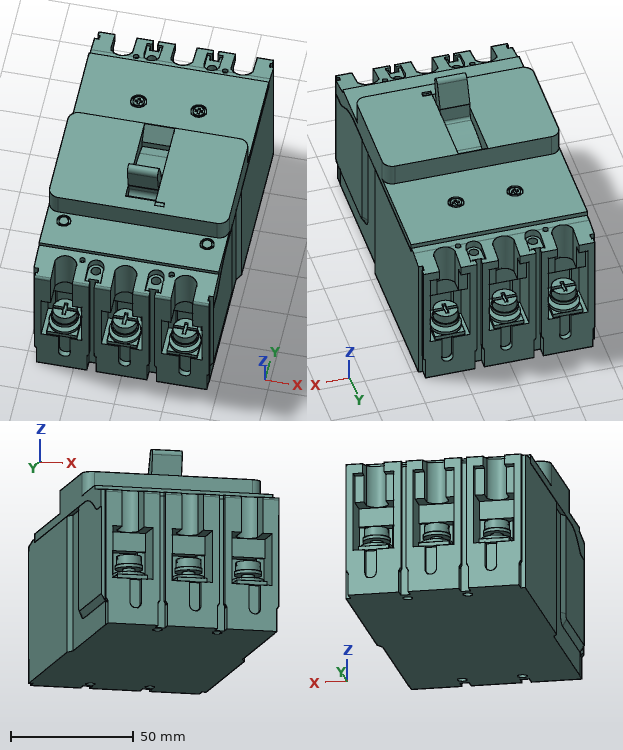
import cadquery as cq
import math

LENGTH = 130.0
WIDTH = 75.0
HEIGHT = 82.7
HALF_LENGTH = LENGTH / 2
HALF_WIDTH = WIDTH / 2
TALL = 2 * HEIGHT

COVER_TOP = 60.2
PLATFORM_TOP = 69.7
SKIRT_BOTTOM = 56.7
SKIRT_BEND_Y = -35.5
SKIRT_BEND_MIDDLE = (-40.3, 55.8)
SKIRT_SLOPE_TOP = (-45.1, 54.1)
SKIRT_SLOPE_FOOT = (-52.4, 49.9)
SKIRT_FRONT_Y = -54.0
SKIRT_FRONT_BOTTOM = 49.4
REAR_LEDGE_Z = 58.2
REAR_END_Z = 56.0
REAR_SLOPE_Y = 53.5
COVER_REAR_Y = 50.3
COVER_FRONT_Y = -50.5
FRONT_SLOPE_TOP_Z = 58.6
FRONT_SLOPE_ANGLE = 11.2
FRONT_EDGE_RADIUS = 1.0
FRONT_END_Z = FRONT_SLOPE_TOP_Z - (HALF_LENGTH + COVER_FRONT_Y) * math.tan(
    math.radians(FRONT_SLOPE_ANGLE)
)

PLATFORM_REAR_Y = 11.8
PLATFORM_FRONT_Y = -33.2
PLATFORM_CORNER_RADIUS = 4.3

SKIRT_STEP = 0.1
BASE_HALF_WIDTH = HALF_WIDTH - SKIRT_STEP
WAIST_DEPTH = 1.7
WAIST_REAR_Y = -3.6
BEVEL_WIDTH = 3.0
PANEL_REAR_Y = -19.8
PANEL_BOTTOM = 10.0
PANEL_CORNER_RADIUS = 4.7

POLE_PITCH = 25.1
POLE_XS = [-POLE_PITCH, 0, POLE_PITCH]
CHANNEL_XS = [-POLE_PITCH / 2, POLE_PITCH / 2]
LIP_THICKNESS = 2.2
CHANNEL_DEPTH = 4.3
CHANNEL_WIDTH = 3.9
CHANNEL_MOUTH = 2.2
LIP_BOTTOM = 9.2
LIP_FULL_Z = 10.5

MOUNT_Y = 56.2
MOUNT_HOLE_DIAMETER = 3.9
MOUNT_RECESS_WIDTH = 6.5
MOUNT_RECESS_FLOOR = 55.0
PIN_HOLE_X = 18.6
PIN_HOLE_Y = 54.0
PIN_HOLE_DIAMETER = 2.2
PIN_HOLE_FLOOR = 55.9

SCREW_Y = 58.1
SHAFT_WIDTH = 9.1
SHAFT_RADIUS = 5.0
POCKET_WIDTH = 16.9
POCKET_BOTTOM = 19.1
POCKET_STEP_Z = 32.9
POCKET_TOP = 40.7
POCKET_UPPER_DEPTH = 12.4
POCKET_LOWER_DEPTH = 13.6
NICHE_WIDTH = 10.5
NICHE_DEPTH = 16.9
REAR_RECESS_TOP = 52.0
REAR_RECESS_DEPTH = 3.6
END_SLOT_OFFSET = 1.2
END_SLOT_WIDTH = 4.8
END_SLOT_BOTTOM = 6.9
END_SLOT_DEPTH = 2.3

PLATE_WIDTH = 12.6
PLATE_TOP = 20.8
PLATE_FRONT_GAP = 0.5
WASHER_DIAMETER = 13.0
WASHER_TOP = 22.1
SHANK_DIAMETER = 5.2
SHANK_TOP = 24.2
COLLAR_DIAMETER = 11.2
COLLAR_TOP = 25.6
HEAD_DIAMETER = 10.1
HEAD_TOP = 29.4
DRIVE_WIDTH = 1.3
DRIVE_SHORT_LENGTH = 5.8
DRIVE_DEPTH = 1.3

COVER_SCREW_X = POLE_PITCH / 2
COVER_SCREW_Y = 29.8
COVER_SCREW_RIM = 6.5
COVER_SCREW_HEAD = 4.7
COVER_DRIVE_LENGTH = 2.9
COVER_DRIVE_WIDTH = 0.9
BUTTON_X = 29.9
BUTTON_Y = -37.2
BUTTON_RIM = 5.7
BUTTON_DIAMETER = 4.0
RIM_GROOVE_DEPTH = 0.8

HANDLE_WIDTH = 12.6
SLOT_REAR_Y = 11.6
SLOT_FRONT_Y = -26.9
SLOT_FLOOR = 60.8
SLOT_WALL_ANGLE = 50.0
SLOT_WALL_RUN = 5.0
SLOT_WALL_FOOT = PLATFORM_TOP - SLOT_WALL_RUN * math.tan(math.radians(SLOT_WALL_ANGLE))
FLOOR_REAR_Y = SLOT_REAR_Y - SLOT_WALL_RUN
FLOOR_FRONT_Y = SLOT_FRONT_Y + SLOT_WALL_RUN

DOME_RADIUS = 39.0
DOME_CENTRE_Y = -10.7
DOME_TOP = 64.5
DOME_REAR_Y = 1.7
TIP_RADIUS = 2.1
TIP_Y = -21.0
TIP_Z = HEIGHT - TIP_RADIUS
REAR_TILT = math.radians(23.0)
FRONT_TILT = math.radians(10.4)
PADDLE_REAR = (-15.0, 71.4)
PADDLE_FRONT = (-21.0, 69.4)
STEM_INSET = 0.3
STEM_REAR_TILT = math.radians(8.0)
STEM_FRONT_TILT = math.radians(16.0)
STEM_REAR_FILLET = 1.3
STEM_FRONT_FILLET = 2.6

WINDOW_LENGTH = 3.8
WINDOW_REAR_Y = -27.2
WINDOW_FRONT_Y = -29.1
WINDOW_REAR_DEPTH = 0.3
WINDOW_FRONT_DEPTH = 0.9


def box(x0, x1, y0, y1, z0, z1):
    """Block between two opposite corners."""
    return cq.Workplane("XY").box(x1 - x0, y1 - y0, z1 - z0, centered=False).translate((x0, y0, z0))


def cylinder(diameter, x, y, z0, z1):
    """Upright cylinder between two levels."""
    return cq.Workplane("XY", origin=(x, y, z0)).circle(diameter / 2).extrude(z1 - z0)


def both_ends(front):
    """A shape at the front end together with its mirror image at the rear end."""
    return front.union(front.mirror("XZ"))


def both_sides(side):
    """A shape on one long side together with its mirror image on the other."""
    return side.union(side.mirror("YZ"))


def end_profile_block():
    """The side outline of base and cover, swept across the full width."""
    block = (
        cq.Workplane("YZ")
        .moveTo(HALF_LENGTH, 0)
        .lineTo(HALF_LENGTH, REAR_END_Z)
        .lineTo(REAR_SLOPE_Y, REAR_LEDGE_Z)
        .lineTo(COVER_REAR_Y, REAR_LEDGE_Z)
        .lineTo(COVER_REAR_Y, COVER_TOP)
        .lineTo(COVER_FRONT_Y, COVER_TOP)
        .lineTo(COVER_FRONT_Y, FRONT_SLOPE_TOP_Z)
        .lineTo(-HALF_LENGTH, FRONT_END_Z)
        .lineTo(-HALF_LENGTH, 0)
        .close()
        .extrude(HALF_WIDTH, both=True)
    )
    front_edge = cq.selectors.NearestToPointSelector((0, -HALF_LENGTH, FRONT_END_Z))
    return block.edges(front_edge).fillet(FRONT_EDGE_RADIUS)


def base_plan():
    """Base with the waist of each long side cut back."""
    waist_x = BASE_HALF_WIDTH - WAIST_DEPTH
    end_block_y = -HALF_LENGTH + CHANNEL_DEPTH
    half_plan = [
        (0, HALF_LENGTH),
        (-BASE_HALF_WIDTH, HALF_LENGTH),
        (-BASE_HALF_WIDTH, WAIST_REAR_Y),
        (-waist_x, WAIST_REAR_Y - BEVEL_WIDTH),
        (-waist_x, end_block_y),
        (-BASE_HALF_WIDTH, end_block_y),
        (-BASE_HALF_WIDTH, -HALF_LENGTH),
        (0, -HALF_LENGTH),
    ]
    return both_sides(cq.Workplane("XY").polyline(half_plan).close().extrude(COVER_TOP))


def side_panels():
    """Raised panels with bevelled edges at the front of each long side."""
    front_y = -HALF_LENGTH - PANEL_CORNER_RADIUS
    top_z = COVER_TOP + PANEL_CORNER_RADIUS
    taper = math.degrees(math.atan2(BEVEL_WIDTH, WAIST_DEPTH))
    outline = (
        cq.Sketch()
        .rect(PANEL_REAR_Y - front_y, top_z - PANEL_BOTTOM)
        .vertices()
        .fillet(PANEL_CORNER_RADIUS)
    )
    foot = cq.Workplane(
        cq.Plane(
            origin=(BASE_HALF_WIDTH - WAIST_DEPTH, (PANEL_REAR_Y + front_y) / 2, (PANEL_BOTTOM + top_z) / 2),
            xDir=(0, 1, 0),
            normal=(1, 0, 0),
        )
    )
    return both_sides(foot.placeSketch(outline).extrude(WAIST_DEPTH, taper=taper))


def cover_skirt():
    """Cover over the full width, its lower edge dropping towards the front."""
    front_y = -HALF_LENGTH
    return (
        cq.Workplane("YZ")
        .moveTo(COVER_REAR_Y, COVER_TOP)
        .lineTo(COVER_REAR_Y, SKIRT_BOTTOM)
        .lineTo(SKIRT_BEND_Y, SKIRT_BOTTOM)
        .threePointArc(SKIRT_BEND_MIDDLE, SKIRT_SLOPE_TOP)
        .lineTo(*SKIRT_SLOPE_FOOT)
        .lineTo(SKIRT_FRONT_Y, SKIRT_FRONT_BOTTOM)
        .lineTo(front_y, SKIRT_FRONT_BOTTOM)
        .lineTo(front_y, COVER_TOP)
        .close()
        .extrude(HALF_WIDTH, both=True)
    )


def platform():
    """Raised block around the handle."""
    block = box(-HALF_WIDTH, HALF_WIDTH, PLATFORM_FRONT_Y, PLATFORM_REAR_Y, COVER_TOP, PLATFORM_TOP)
    return block.edges("|Z").fillet(PLATFORM_CORNER_RADIUS)


def barrier_channel(x):
    """T-shaped channel in the front end, its mouth widening near the bottom."""
    half_mouth = CHANNEL_MOUTH / 2
    half_width = CHANNEL_WIDTH / 2
    inner_y = -HALF_LENGTH + LIP_THICKNESS
    channel = box(
        x - half_width, x + half_width, inner_y, -HALF_LENGTH + CHANNEL_DEPTH, -1.3, TALL
    )
    mouth_outline = [
        (x - half_width, 0),
        (x - half_width, LIP_BOTTOM),
        (x - half_mouth, LIP_FULL_Z),
        (x - half_mouth, TALL),
        (x + half_mouth, TALL),
        (x + half_mouth, LIP_FULL_Z),
        (x + half_width, LIP_BOTTOM),
        (x + half_width, 0),
    ]
    mouth = (
        cq.Workplane("XZ", origin=(0, inner_y, 0)).polyline(mouth_outline).close()
        .extrude(LIP_THICKNESS)
    )
    return channel.union(mouth)


def mounting_hole(x):
    """Through hole in a round-ended recess that runs out into the channel."""
    radius = MOUNT_RECESS_WIDTH / 2
    hole = cylinder(MOUNT_HOLE_DIAMETER, x, -MOUNT_Y, -1.3, TALL)
    round_end = cylinder(MOUNT_RECESS_WIDTH, x, -MOUNT_Y, MOUNT_RECESS_FLOOR, TALL)
    run_out = box(
        x - radius, x + radius, -HALF_LENGTH + LIP_THICKNESS, -MOUNT_Y, MOUNT_RECESS_FLOOR, TALL
    )
    return hole.union(round_end).union(run_out)


def terminal_cavity(x):
    """Screwdriver shaft, stepped pocket and lower slot of one pole."""
    end_y = -HALF_LENGTH
    half_shaft = SHAFT_WIDTH / 2
    half_pocket = POCKET_WIDTH / 2
    half_niche = NICHE_WIDTH / 2
    bore = cylinder(2 * SHAFT_RADIUS, x, -SCREW_Y, POCKET_STEP_Z, TALL)
    shaft_back = SHAFT_RADIUS - SCREW_Y
    shaft = box(x - half_shaft, x + half_shaft, end_y, shaft_back, POCKET_STEP_Z, TALL)
    open_side = box(x - half_shaft, x + half_shaft, end_y, -SCREW_Y, POCKET_STEP_Z, TALL)
    upper = box(
        x - half_pocket, x + half_pocket, end_y, end_y + POCKET_UPPER_DEPTH, POCKET_STEP_Z, POCKET_TOP
    )
    lower = box(
        x - half_pocket, x + half_pocket, end_y, end_y + POCKET_LOWER_DEPTH, POCKET_BOTTOM, POCKET_STEP_Z
    )
    niche = box(
        x - half_niche, x + half_niche, end_y, end_y + NICHE_DEPTH, POCKET_BOTTOM, POCKET_STEP_Z
    )
    slot_x = x + END_SLOT_OFFSET
    slot_radius = END_SLOT_WIDTH / 2
    slot = box(
        slot_x - slot_radius, slot_x + slot_radius, end_y, end_y + END_SLOT_DEPTH,
        END_SLOT_BOTTOM + slot_radius, POCKET_BOTTOM,
    )
    slot_end = (
        cq.Workplane("XZ", origin=(slot_x, end_y + END_SLOT_DEPTH, END_SLOT_BOTTOM + slot_radius))
        .circle(slot_radius)
        .extrude(END_SLOT_DEPTH)
    )
    cavity = bore.intersect(shaft).union(open_side)
    for part in (upper, lower, niche, slot, slot_end):
        cavity = cavity.union(part)
    return cavity


def rear_recess(x):
    """Shallow recess that widens the rear shaft of one pole above its pocket."""
    half_pocket = POCKET_WIDTH / 2
    return box(
        x - half_pocket, x + half_pocket, HALF_LENGTH - REAR_RECESS_DEPTH, HALF_LENGTH,
        POCKET_TOP, REAR_RECESS_TOP,
    )


def terminal_screw(x):
    """Terminal plate with washer, shank, collar and cross-slotted head."""
    y = -SCREW_Y
    half_plate = PLATE_WIDTH / 2
    head_radius = HEAD_DIAMETER / 2
    half_drive = DRIVE_WIDTH / 2
    half_short = DRIVE_SHORT_LENGTH / 2
    drive_floor = HEAD_TOP - DRIVE_DEPTH
    screw = box(
        x - half_plate, x + half_plate, -HALF_LENGTH + PLATE_FRONT_GAP, -HALF_LENGTH + NICHE_DEPTH,
        POCKET_BOTTOM, PLATE_TOP,
    )
    screw = screw.union(cylinder(WASHER_DIAMETER, x, y, PLATE_TOP, WASHER_TOP))
    screw = screw.union(cylinder(SHANK_DIAMETER, x, y, WASHER_TOP, SHANK_TOP))
    screw = screw.union(cylinder(COLLAR_DIAMETER, x, y, SHANK_TOP, COLLAR_TOP))
    screw = screw.union(cylinder(HEAD_DIAMETER, x, y, COLLAR_TOP, HEAD_TOP))
    screw = screw.cut(
        box(x - head_radius, x + head_radius, y - half_drive, y + half_drive, drive_floor, HEAD_TOP)
    )
    return screw.cut(
        box(x - half_drive, x + half_drive, y - half_short, y + half_short, drive_floor, HEAD_TOP)
    )


def rim_groove(outer_diameter, inner_diameter, x, y):
    """Ring groove in the cover top around a round head."""
    floor = COVER_TOP - RIM_GROOVE_DEPTH
    outer = cylinder(outer_diameter, x, y, floor, COVER_TOP)
    return outer.cut(cylinder(inner_diameter, x, y, floor, COVER_TOP))


def cover_screw(x):
    """Ring groove and cross recess of a screw in the cover."""
    half_length = COVER_DRIVE_LENGTH / 2
    half_width = COVER_DRIVE_WIDTH / 2
    y = COVER_SCREW_Y
    floor = COVER_TOP - RIM_GROOVE_DEPTH
    across = box(x - half_length, x + half_length, y - half_width, y + half_width, floor, COVER_TOP)
    along = box(x - half_width, x + half_width, y - half_length, y + half_length, floor, COVER_TOP)
    return rim_groove(COVER_SCREW_RIM, COVER_SCREW_HEAD, x, y).union(across).union(along)


def handle_slot():
    """Slot that holds the handle, its end walls sloped above and upright near the floor."""
    outline = [
        (SLOT_REAR_Y, PLATFORM_TOP),
        (FLOOR_REAR_Y, SLOT_WALL_FOOT),
        (FLOOR_REAR_Y, SLOT_FLOOR),
        (FLOOR_FRONT_Y, SLOT_FLOOR),
        (FLOOR_FRONT_Y, SLOT_WALL_FOOT),
        (SLOT_FRONT_Y, PLATFORM_TOP),
    ]
    return cq.Workplane("YZ").polyline(outline).close().extrude(HANDLE_WIDTH / 2, both=True)


def indicator_window():
    """Small pocket with a sloping floor at the front corner of the slot."""
    outline = [
        (WINDOW_REAR_Y, PLATFORM_TOP),
        (WINDOW_REAR_Y, PLATFORM_TOP - WINDOW_REAR_DEPTH),
        (WINDOW_FRONT_Y, PLATFORM_TOP - WINDOW_FRONT_DEPTH),
        (WINDOW_FRONT_Y, PLATFORM_TOP),
    ]
    start = cq.Workplane("YZ", origin=(HANDLE_WIDTH / 2, 0, 0))
    return start.polyline(outline).close().extrude(WINDOW_LENGTH)


def make_housing():
    """Housing with its terminals."""
    body = base_plan().union(side_panels()).union(cover_skirt())
    body = body.intersect(end_profile_block()).union(platform())
    for x in CHANNEL_XS:
        body = body.cut(both_ends(barrier_channel(x)))
        body = body.cut(both_ends(mounting_hole(x)))
    for x in (-HALF_WIDTH, HALF_WIDTH):
        body = body.cut(both_ends(barrier_channel(x)))
    for x in (-PIN_HOLE_X, PIN_HOLE_X):
        body = body.cut(both_ends(cylinder(PIN_HOLE_DIAMETER, x, -PIN_HOLE_Y, PIN_HOLE_FLOOR, COVER_TOP)))
    for x in POLE_XS:
        body = body.cut(both_ends(terminal_cavity(x))).cut(rear_recess(x))
        body = body.union(both_ends(terminal_screw(x)))
    for side in (-1, 1):
        body = body.cut(cover_screw(side * COVER_SCREW_X))
        body = body.cut(rim_groove(BUTTON_RIM, BUTTON_DIAMETER, side * BUTTON_X, BUTTON_Y))
    return body.cut(handle_slot()).cut(indicator_window())


def dome_height(y):
    """Level of the domed handle base at a place along Y."""
    return DOME_TOP - DOME_RADIUS + math.sqrt(DOME_RADIUS**2 - (y - DOME_CENTRE_Y) ** 2)


def make_handle():
    """Domed base lying in the slot, with a stem and a round-tipped paddle."""
    dome = (
        cq.Workplane("YZ")
        .moveTo(FLOOR_REAR_Y, SLOT_FLOOR)
        .lineTo(DOME_REAR_Y, dome_height(DOME_REAR_Y))
        .threePointArc((DOME_CENTRE_Y, DOME_TOP), (FLOOR_FRONT_Y, dome_height(FLOOR_FRONT_Y)))
        .lineTo(FLOOR_FRONT_Y, SLOT_FLOOR)
        .close()
        .extrude(HANDLE_WIDTH / 2, both=True)
    )
    stem_rear = PADDLE_REAR[0] - STEM_INSET
    stem_front = PADDLE_FRONT[0] + STEM_INSET
    rear_foot = stem_rear + (PADDLE_REAR[1] - DOME_TOP) * math.tan(STEM_REAR_TILT)
    front_foot = stem_front + (PADDLE_FRONT[1] - DOME_TOP) * math.tan(STEM_FRONT_TILT)
    stem_outline = [
        (stem_rear, PADDLE_REAR[1]),
        (rear_foot, dome_height(rear_foot)),
        (rear_foot, SLOT_FLOOR),
        (front_foot, SLOT_FLOOR),
        (front_foot, dome_height(front_foot)),
        (stem_front, PADDLE_FRONT[1]),
    ]
    stem = cq.Workplane("YZ").polyline(stem_outline).close().extrude(HANDLE_WIDTH / 2, both=True)
    base = dome.union(stem)
    for foot_y, radius in ((rear_foot, STEM_REAR_FILLET), (front_foot, STEM_FRONT_FILLET)):
        foot = (0, foot_y, dome_height(foot_y))
        base = base.edges(cq.selectors.NearestToPointSelector(foot)).fillet(radius)
    tip_rear = (TIP_Y + TIP_RADIUS * math.cos(REAR_TILT), TIP_Z + TIP_RADIUS * math.sin(REAR_TILT))
    tip_front = (TIP_Y - TIP_RADIUS * math.cos(FRONT_TILT), TIP_Z - TIP_RADIUS * math.sin(FRONT_TILT))
    paddle = (
        cq.Workplane("YZ")
        .moveTo(*PADDLE_FRONT)
        .lineTo(*PADDLE_REAR)
        .lineTo(*tip_rear)
        .threePointArc((TIP_Y, HEIGHT), tip_front)
        .close()
        .extrude(HANDLE_WIDTH / 2, both=True)
    )
    return base.union(paddle)


housing = make_housing()
handle = make_handle()
result = cq.Compound.makeCompound([housing.val(), handle.val()])